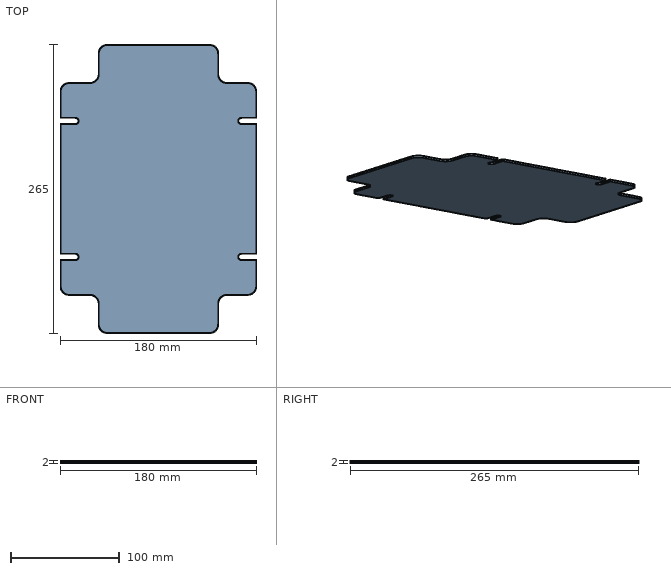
import cadquery as cq

thickness = 2.0
body_width = 180.0
body_length = 195.0
tab_width = 110.0
total_length = 265.0
corner_radius = 8.0
slot_width = 5.5
slot_depth = 16.5
slot_spacing = 125.0


def make_plate():
    """Cross-shaped plate: wide body with a narrower tab at each Y end."""
    body = cq.Workplane("XY").box(body_width, body_length, thickness)
    tabs = cq.Workplane("XY").box(tab_width, total_length, thickness)
    return body.union(tabs).edges("|Z").fillet(corner_radius)


def make_slot(side, end):
    """Cutter for one edge slot; side and end are the signs of its X and Y position."""
    return (
        cq.Workplane("XY")
        .center(side * body_width / 2, end * slot_spacing / 2)
        .slot2D(2 * slot_depth, slot_width)
        .extrude(thickness, both=True)
    )


result = make_plate()
for side in (-1, 1):
    for end in (-1, 1):
        result = result.cut(make_slot(side, end))